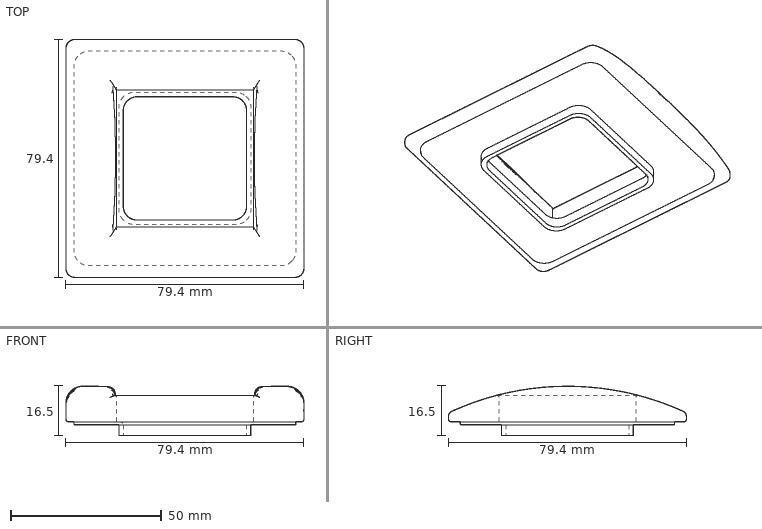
import cadquery as cq
import math

side = 79.4
total_height = 16.53

plate_length = 74.0
plate_width = 71.5
plate_corner_radius = 5.0
plate_edge_radius = 0.3
tube_drop = 3.65
plate_thickness = 0.95
tube_outer = 44.0
tube_outer_radius = 5.0
tube_inner = 41.0
tube_inner_radius = 4.5
tube_mouth_radius = 1.1
plate_top = tube_drop + plate_thickness

crown_rise = 8.9
cover_corner_radius = 3.1
end_edge_radius = 2.0
side_edge_radius = 5.7
bottom_edge_radius = 1.0
half_side = side / 2
crown_end_height = total_height - crown_rise
crown_radius = (half_side**2 + crown_rise**2) / (2 * crown_rise)

window = 45.6
window_rim_radius = 0.7
facet_rim_height = 13.6
facet_reach = 26.05
facet_spread = 2.1
flank_bottom = 13.4
flank_shelf = 0.3
flank_end_shelf = 1.2
flank_width = 3.5
flank_end_width = 2.5
flank_lip_slope = 0.1
flank_overshoot = 0.05
flank_headroom = 3.0
flank_steps = 4
half_window = window / 2
facet_half_length = half_window + facet_spread
flank_cutter_top = total_height + flank_headroom
crown_centre = total_height - crown_radius
flank_half_length = math.sqrt(crown_radius**2 - (flank_bottom - crown_centre)**2)

pick_margin = 0.1


def pick_box(half_x, half_y, height):
    """Selector for edges centred in a flat box around the Z axis at a given height."""
    x = half_x + pick_margin
    y = half_y + pick_margin
    return cq.selectors.BoxSelector((-x, -y, height - pick_margin), (x, y, height + pick_margin))


def crown_height(y):
    """Height of the crown at a distance y from its middle."""
    return crown_centre + math.sqrt(crown_radius**2 - y**2)


def make_base():
    """Plate with a tube below it and a rounded mouth into the tube."""
    plate = (
        cq.Workplane("XY").workplane(offset=tube_drop)
        .rect(plate_length, plate_width).extrude(plate_thickness)
        .edges("|Z").fillet(plate_corner_radius)
        .faces("<Z").edges().fillet(plate_edge_radius)
    )
    tube = (
        cq.Workplane("XY").rect(tube_outer, tube_outer).extrude(plate_top)
        .edges("|Z").fillet(tube_outer_radius)
    )
    hole = (
        cq.Workplane("XY").rect(tube_inner, tube_inner).extrude(plate_top)
        .edges("|Z").fillet(tube_inner_radius)
    )
    base = plate.union(tube).cut(hole)
    half_tube = tube_outer / 2
    return base.edges(pick_box(half_tube, half_tube, plate_top)).fillet(tube_mouth_radius)


def make_crowned_block():
    """Square block with an arched top, its crown split into two halves at the middle."""
    quarter = half_side / 2
    block = (
        cq.Workplane("YZ").workplane(offset=-half_side)
        .moveTo(-half_side, plate_top)
        .lineTo(-half_side, crown_end_height)
        .threePointArc((-quarter, crown_height(quarter)), (0, total_height))
        .threePointArc((quarter, crown_height(quarter)), (half_side, crown_end_height))
        .lineTo(half_side, plate_top)
        .close()
        .extrude(side, clean=False)
    )
    upright_edges = block.edges("|Z").vals()
    return cq.Workplane(block.val().fillet(cover_corner_radius, upright_edges))


def round_crown_edge(block):
    """Round the whole crown edge, swelling to a wide radius at the middle of both arched sides."""
    rounding = cq.occ_impl.shapes.BRepFilletAPI_MakeFillet(block.val().wrapped)
    for edge in block.edges("(<X or >X) and (not |Y) and (not |Z)").vals():
        rounding.Add(end_edge_radius, edge.wrapped)
    crown_edge_loop = 1
    for vertex in block.vertices(">Z").vals():
        rounding.SetRadius(side_edge_radius, crown_edge_loop, vertex.wrapped)
    return cq.Workplane(cq.Shape.cast(rounding.Shape())).solids().clean()


def make_window_cutter():
    """Window prism with a facet at both ends in Y that widens outward and runs out into the crown."""
    facet_profile = [
        (facet_reach, crown_height(facet_reach)),
        (half_window, facet_rim_height),
        (half_window, total_height),
        (facet_reach, total_height),
    ]
    facet_outline = [
        (half_window, half_window),
        (facet_half_length, facet_reach),
        (-facet_half_length, facet_reach),
        (-half_window, half_window),
    ]
    facet_bar = cq.Workplane("YZ").polyline(facet_profile).close().extrude(facet_half_length, both=True)
    facet = cq.Workplane("XY").polyline(facet_outline).close().extrude(total_height).intersect(facet_bar)
    window_prism = cq.Workplane("XY").workplane(offset=plate_top).rect(window, window).extrude(total_height)
    return window_prism.union(facet).union(facet.mirror("XZ"))


def flank_section(y):
    """Wire at y around the material removed between the window wall and the rounded flank."""
    fade = (y / flank_half_length) ** 2
    foot_x = half_window + flank_shelf + (flank_end_shelf - flank_shelf) * fade
    crown_x = half_window + flank_width + (flank_end_width - flank_width) * fade
    foot = cq.Vector(foot_x, y, flank_bottom)
    lip = cq.Vector(crown_x, y, crown_height(y) + flank_overshoot)
    rounded_flank = cq.Edge.makeSpline(
        [foot, lip],
        tangents=[cq.Vector(0, 0, 1), cq.Vector(1, 0, flank_lip_slope)],
    )
    corners = [
        lip,
        cq.Vector(crown_x, y, flank_cutter_top),
        cq.Vector(half_window, y, flank_cutter_top),
        cq.Vector(half_window, y, flank_bottom),
        foot,
    ]
    straight_sides = [cq.Edge.makeLine(start, end) for start, end in zip(corners, corners[1:])]
    return cq.Wire.assembleEdges([rounded_flank] + straight_sides)


def make_flank_cutter():
    """Smooth cutter for the flank on the +X side of the window."""
    stations = [flank_half_length * step / flank_steps for step in range(-flank_steps, flank_steps + 1)]
    return cq.Workplane(cq.Solid.makeLoft([flank_section(y) for y in stations]))


def make_cover():
    """Crowned frame with its window, end facets and rounded flanks."""
    cover = round_crown_edge(make_crowned_block())
    cover = cover.faces("<Z").edges().fillet(bottom_edge_radius)
    cover = cover.cut(make_window_cutter())
    cover = cover.edges(pick_box(0, half_window, facet_rim_height)).fillet(window_rim_radius)
    flank = make_flank_cutter()
    return cover.cut(flank).cut(flank.mirror("YZ"))


base = make_base()
cover = make_cover()
result = cq.Compound.makeCompound([*base.solids().vals(), *cover.solids().vals()])